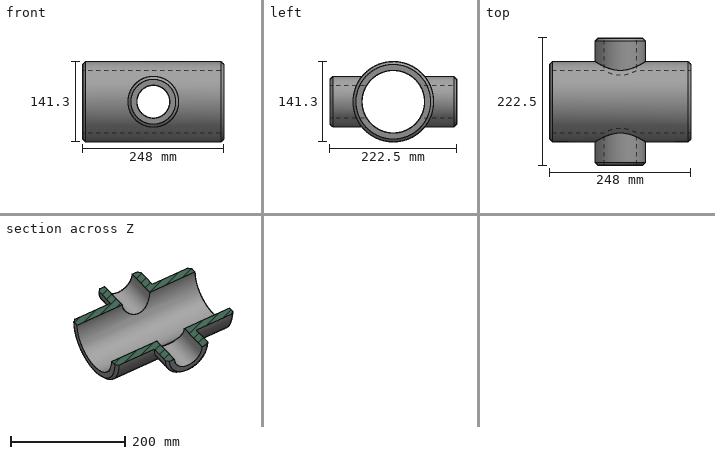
import cadquery as cq

run_length = 248.0
run_diameter = 141.3
run_bore = 109.3
branch_length = 222.5
branch_diameter = 89.0
branch_bore = 57.3
end_chamfer = 5.2


def centred_cylinder(plane, diameter, length):
    """Cylinder centred on the origin, along the normal of the plane."""
    return cq.Workplane(plane).circle(diameter / 2).extrude(length / 2, both=True)


def bevelled_pipe_blank(plane, diameter, length):
    """Solid cylinder with both end rims chamfered."""
    return centred_cylinder(plane, diameter, length).edges("%CIRCLE").chamfer(end_chamfer)


run = bevelled_pipe_blank("YZ", run_diameter, run_length)
branch = bevelled_pipe_blank("XZ", branch_diameter, branch_length)
body = run.union(branch)

run_passage = centred_cylinder("YZ", run_bore, run_length)
branch_passage = centred_cylinder("XZ", branch_bore, branch_length)

result = body.cut(run_passage).cut(branch_passage)